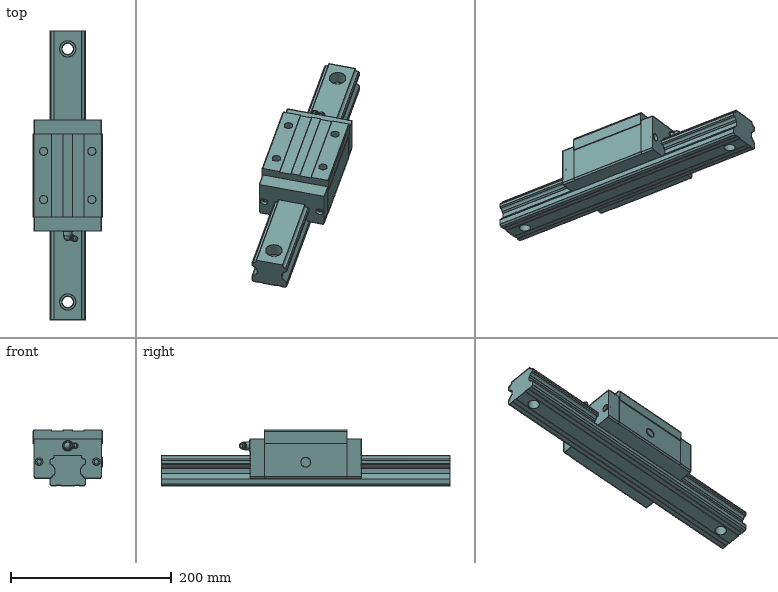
import cadquery as cq
import math


RAIL_LENGTH = 360.0
RAIL_HEIGHT = 38.0
RAIL_HALF_WIDTH = 22.5
RAIL_TOP_HALF_WIDTH = 17.0
RAIL_WAIST_HALF_WIDTH = 16.0
RAIL_FOOT_CHAMFER = 2.0
FOOT_TOP_Z = 8.5
WAIST_BOTTOM_Z = 15.5
WAIST_TOP_Z = 21.5
GROOVE_HALF_WIDTH = 17.5
GROOVE_BOTTOM_Z = WAIST_TOP_Z + GROOVE_HALF_WIDTH - RAIL_WAIST_HALF_WIDTH
RIDGE_HALF_WIDTH = 21.0
RIDGE_BOTTOM_Z = 26.5
RIDGE_TOP_Z = 33.5
RIDGE_CHAMFER = RAIL_HALF_WIDTH - RIDGE_HALF_WIDTH
GROOVE_SAG = 0.7
SHOULDER_TOP_Z = 37.0
SHOULDER_SAG = 1.0
BASE_RELIEF_INNER = 8.5
BASE_RELIEF_OUTER = 14.8
BASE_RELIEF_DEPTH = 0.7
RAIL_HOLE_Y = 157.5
RAIL_HOLE_DIAMETER = 14.0
RAIL_BORE_DIAMETER = 20.0
RAIL_BORE_DEPTH = 17.0

OVERALL_HEIGHT = 70.0
CARRIAGE_BOTTOM_Z = 9.5
CARRIAGE_LENGTH = 138.5
BLOCK_LENGTH = 103.5
HEAD_WIDTH = 86.0
HEAD_HALF_WIDTH = HEAD_WIDTH / 2
HEAD_BOTTOM_Z = 53.0
HEAD_CHAMFER_X = 1.0
HEAD_CHAMFER_Z = 2.0
BODY_HALF_WIDTH = 42.0
CAP_HALF_WIDTH = 41.8
CAP_TOP_Z = 58.5
CARRIAGE_FOOT_CHAMFER_X = 1.5
CARRIAGE_FOOT_CHAMFER_Z = 2.5
TOP_RELIEF_INNER = 5.8
TOP_RELIEF_OUTER = 20.0
TOP_RELIEF_DEPTH = 1.0
MOUNT_HOLE_SPACING = 60.0
MOUNT_HOLE_DIAMETER = 10.0
MOUNT_HOLE_DEPTH = 16.0
SCREW_X = 35.5
SCREW_Z = 30.2
SCREW_RECESS_DIAMETER = 9.5
SCREW_RECESS_DEPTH = 4.5
SCREW_HEX_ACROSS_CORNERS = 6.0
SCREW_HEX_DEPTH = 2.0
SIDE_BOSS_DIAMETER = 12.2
SIDE_BOSS_Z = 29.5

NIPPLE_Z = 50.0
NIPPLE_FLANGE_DIAMETER = 13.0
NIPPLE_FLANGE_THICKNESS = 0.7
NIPPLE_STEM_DIAMETER = 10.0
NIPPLE_STEM_LENGTH = 6.0
NIPPLE_BALL_DIAMETER = 9.5
NIPPLE_BALL_REACH = 7.2
SPOUT_ANGLE = 24.0
SPOUT_REACH = 5.8
SPOUT_NECK_RADIUS = 2.5
SPOUT_HEAD_RADIUS = 3.5
SPOUT_TIP_RADIUS = 2.0
SPOUT_COLLAR_START = 4.5
SPOUT_COLLAR_END = 6.0
SPOUT_HEAD_START = 8.0
SPOUT_HEAD_END = 10.5
SPOUT_LENGTH = 13.0


def extrude_along_y(outline, length):
    """Extrude an XZ outline symmetrically about Y = 0."""
    return outline.close().extrude(length / 2, both=True)


def bulged_point(start, end, sag):
    """Middle of an arc from start to end; a positive sag bulges to the right of the direction of travel."""
    dx = end[0] - start[0]
    dz = end[1] - start[1]
    chord = math.hypot(dx, dz)
    return ((start[0] + end[0]) / 2 + sag * dz / chord, (start[1] + end[1]) / 2 - sag * dx / chord)


def rail_prism(length):
    """Rail section without its holes and base reliefs; the carriage bore has the same section."""
    groove_bottom = (GROOVE_HALF_WIDTH, GROOVE_BOTTOM_Z)
    ridge_bottom = (RIDGE_HALF_WIDTH, RIDGE_BOTTOM_Z)
    ridge_top = (RIDGE_HALF_WIDTH, RIDGE_TOP_Z)
    shoulder_top = (RAIL_TOP_HALF_WIDTH, SHOULDER_TOP_Z)
    half = (
        cq.Workplane("XZ")
        .lineTo(RAIL_HALF_WIDTH - RAIL_FOOT_CHAMFER, 0)
        .lineTo(RAIL_HALF_WIDTH, RAIL_FOOT_CHAMFER)
        .lineTo(RAIL_HALF_WIDTH, FOOT_TOP_Z)
        .lineTo(RAIL_WAIST_HALF_WIDTH, WAIST_BOTTOM_Z)
        .lineTo(RAIL_WAIST_HALF_WIDTH, WAIST_TOP_Z)
        .lineTo(*groove_bottom)
        .threePointArc(bulged_point(groove_bottom, ridge_bottom, -GROOVE_SAG), ridge_bottom)
        .lineTo(RAIL_HALF_WIDTH, RIDGE_BOTTOM_Z + RIDGE_CHAMFER)
        .lineTo(RAIL_HALF_WIDTH, RIDGE_TOP_Z - RIDGE_CHAMFER)
        .lineTo(*ridge_top)
        .threePointArc(bulged_point(ridge_top, shoulder_top, -SHOULDER_SAG), shoulder_top)
        .lineTo(RAIL_TOP_HALF_WIDTH, RAIL_HEIGHT)
        .lineTo(0, RAIL_HEIGHT)
    )
    half = extrude_along_y(half, length)
    return half.union(half.mirror("YZ"))


def relief_strips(inner, outer, bottom_z, depth, length):
    """Two shallow lengthwise strips, mirrored about X = 0."""
    strips = cq.Workplane("XY").workplane(offset=bottom_z)
    middle = (inner + outer) / 2
    return strips.pushPoints([(-middle, 0), (middle, 0)]).rect(outer - inner, length).extrude(depth)


def make_rail():
    reliefs = relief_strips(BASE_RELIEF_INNER, BASE_RELIEF_OUTER, 0, BASE_RELIEF_DEPTH, RAIL_LENGTH)
    return (
        rail_prism(RAIL_LENGTH)
        .cut(reliefs)
        .faces(">Z")
        .workplane(origin=(0, 0, RAIL_HEIGHT))
        .pushPoints([(0, -RAIL_HOLE_Y), (0, RAIL_HOLE_Y)])
        .cboreHole(RAIL_HOLE_DIAMETER, RAIL_BORE_DIAMETER, RAIL_BORE_DEPTH)
    )


def carriage_prism(half_width, top_z, length):
    """Plain prism with the lower long edges chamfered."""
    outline = cq.Workplane("XZ").polyline([
        (half_width - CARRIAGE_FOOT_CHAMFER_X, CARRIAGE_BOTTOM_Z),
        (half_width, CARRIAGE_BOTTOM_Z + CARRIAGE_FOOT_CHAMFER_Z),
        (half_width, top_z),
        (-half_width, top_z),
        (-half_width, CARRIAGE_BOTTOM_Z + CARRIAGE_FOOT_CHAMFER_Z),
        (CARRIAGE_FOOT_CHAMFER_X - half_width, CARRIAGE_BOTTOM_Z),
    ])
    return extrude_along_y(outline, length)


def carriage_head():
    """Wider upper part of the block, with chamfered top edges."""
    outline = cq.Workplane("XZ").polyline([
        (-HEAD_HALF_WIDTH, HEAD_BOTTOM_Z),
        (HEAD_HALF_WIDTH, HEAD_BOTTOM_Z),
        (HEAD_HALF_WIDTH, OVERALL_HEIGHT - HEAD_CHAMFER_Z),
        (HEAD_HALF_WIDTH - HEAD_CHAMFER_X, OVERALL_HEIGHT),
        (HEAD_CHAMFER_X - HEAD_HALF_WIDTH, OVERALL_HEIGHT),
        (-HEAD_HALF_WIDTH, OVERALL_HEIGHT - HEAD_CHAMFER_Z),
    ])
    return extrude_along_y(outline, BLOCK_LENGTH)


def screw_recesses():
    """Round recesses with a hexagonal socket in their floor, in the -Y end face."""
    places = [(-SCREW_X, SCREW_Z), (SCREW_X, SCREW_Z)]
    end_face = cq.Workplane("XZ", origin=(0, -CARRIAGE_LENGTH / 2, 0))
    recesses = end_face.pushPoints(places).circle(SCREW_RECESS_DIAMETER / 2).extrude(-SCREW_RECESS_DEPTH)
    sockets = end_face.pushPoints(places).polygon(6, SCREW_HEX_ACROSS_CORNERS)
    return recesses.union(sockets.extrude(-SCREW_RECESS_DEPTH - SCREW_HEX_DEPTH))


def side_boss():
    """Low round boss on the +X side, flush with the wider head."""
    plane = cq.Workplane("YZ", origin=(BODY_HALF_WIDTH, 0, SIDE_BOSS_Z))
    return plane.circle(SIDE_BOSS_DIAMETER / 2).extrude(HEAD_HALF_WIDTH - BODY_HALF_WIDTH)


def make_carriage():
    top_reliefs = relief_strips(
        TOP_RELIEF_INNER, TOP_RELIEF_OUTER, OVERALL_HEIGHT - TOP_RELIEF_DEPTH, TOP_RELIEF_DEPTH, BLOCK_LENGTH
    )
    recesses = screw_recesses()
    mount_holes = (
        cq.Workplane("XY", origin=(0, 0, OVERALL_HEIGHT))
        .rarray(MOUNT_HOLE_SPACING, MOUNT_HOLE_SPACING, 2, 2)
        .circle(MOUNT_HOLE_DIAMETER / 2)
        .extrude(-MOUNT_HOLE_DEPTH)
    )
    return (
        carriage_prism(CAP_HALF_WIDTH, CAP_TOP_Z, CARRIAGE_LENGTH)
        .union(carriage_prism(BODY_HALF_WIDTH, HEAD_BOTTOM_Z, BLOCK_LENGTH))
        .union(carriage_head())
        .union(side_boss())
        .cut(rail_prism(RAIL_LENGTH))
        .cut(top_reliefs)
        .cut(mount_holes)
        .cut(recesses)
        .cut(recesses.mirror("XZ"))
    )


def nipple_spout():
    """Turned spout with a collar, a neck and a tapered head, built along +X from the origin."""
    outline = [
        (0, 0),
        (0, SPOUT_NECK_RADIUS),
        (SPOUT_COLLAR_START, SPOUT_NECK_RADIUS),
        (SPOUT_COLLAR_START, SPOUT_HEAD_RADIUS),
        (SPOUT_COLLAR_END, SPOUT_HEAD_RADIUS),
        (SPOUT_HEAD_START, SPOUT_NECK_RADIUS),
        (SPOUT_HEAD_START, SPOUT_HEAD_RADIUS),
        (SPOUT_HEAD_END, SPOUT_HEAD_RADIUS),
        (SPOUT_LENGTH, SPOUT_TIP_RADIUS),
        (SPOUT_LENGTH, 0),
    ]
    return cq.Workplane("XY").polyline(outline).close().revolve(360, (0, 0, 0), (1, 0, 0))


def make_nipple():
    """Flange and stem seated on the end face, with a ball that carries the slanted spout."""
    seat_y = -CARRIAGE_LENGTH / 2
    ball_centre = (0, seat_y - NIPPLE_BALL_REACH, NIPPLE_Z)
    spout_root = (0, seat_y - SPOUT_REACH, NIPPLE_Z)
    seat = cq.Workplane("XZ", origin=(0, seat_y, NIPPLE_Z))
    flange = seat.circle(NIPPLE_FLANGE_DIAMETER / 2).extrude(NIPPLE_FLANGE_THICKNESS)
    stem = seat.circle(NIPPLE_STEM_DIAMETER / 2).extrude(NIPPLE_STEM_LENGTH)
    ball = cq.Workplane("XY").sphere(NIPPLE_BALL_DIAMETER / 2).translate(ball_centre)
    spout = nipple_spout().rotate((0, 0, 0), (0, 0, 1), -SPOUT_ANGLE).translate(spout_root)
    return flange.union(stem).union(ball).union(spout)


rail = make_rail()
carriage = make_carriage()
nipple = make_nipple()

result = cq.Compound.makeCompound([rail.val(), carriage.val(), nipple.val()])